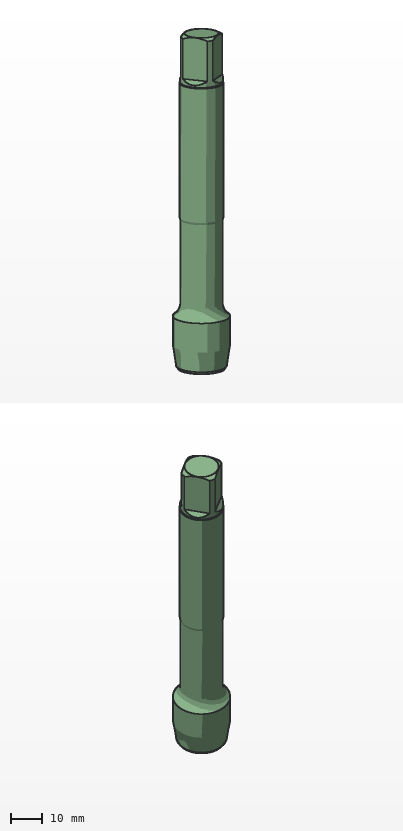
import cadquery as cq
import math


TOTAL_LENGTH = 110.0
TIP_CHAMFER_HEIGHT = 0.9
LEAD_TOP = 7.6
HEAD_TOP = 17.2
FLARE_TOP = 21.5
NECK_TOP = 48.8
SHANK_BOTTOM = 49.6
SHANK_TOP = 93.7
DRIVE_FLAT_BOTTOM = 96.0

TIP_DIAMETER = 15.0
LEAD_DIAMETER = 16.2
HEAD_DIAMETER = 18.2
NECK_DIAMETER = 13.5
SHANK_DIAMETER = 14.0
DRIVE_DIAMETER = 13.8
DRIVE_TOP_DIAMETER = 10.8

DRIVE_WIDTH = 11.0
DRIVE_SIDES = 4
DRIVE_TOP_CHAMFER_HEIGHT = 0.8
SHOULDER_CHAMFER_HEIGHT = 0.3

FLARE_HEIGHT = FLARE_TOP - HEAD_TOP
FLARE_STEP = (HEAD_DIAMETER - NECK_DIAMETER) / 2
FLARE_RADIUS = (FLARE_HEIGHT**2 + FLARE_STEP**2) / (2 * FLARE_STEP)
FLARE_ANGLE = math.asin(FLARE_HEIGHT / FLARE_RADIUS)


def revolve_profile(profile):
    """Close a radius-height profile and turn it about the Z axis."""
    return profile.close().revolve(360, (0, 0, 0), (0, 1, 0))


def make_thread_head():
    """Cylindrical head with a tapered lead and a chamfered tip."""
    profile = (
        cq.Workplane("XZ")
        .lineTo(TIP_DIAMETER / 2, 0)
        .lineTo(LEAD_DIAMETER / 2, TIP_CHAMFER_HEIGHT)
        .lineTo(HEAD_DIAMETER / 2, LEAD_TOP)
        .lineTo(HEAD_DIAMETER / 2, HEAD_TOP)
        .lineTo(0, HEAD_TOP)
    )
    return revolve_profile(profile)


def make_shank_blank():
    """Turned shank, from the flare at the head up to the round end of the drive."""
    flare_middle = (
        NECK_DIAMETER / 2 + FLARE_RADIUS * (1 - math.cos(FLARE_ANGLE / 2)),
        FLARE_TOP - FLARE_RADIUS * math.sin(FLARE_ANGLE / 2),
    )
    profile = (
        cq.Workplane("XZ")
        .moveTo(0, HEAD_TOP)
        .lineTo(HEAD_DIAMETER / 2, HEAD_TOP)
        .threePointArc(flare_middle, (NECK_DIAMETER / 2, FLARE_TOP))
        .lineTo(NECK_DIAMETER / 2, NECK_TOP)
        .lineTo(SHANK_DIAMETER / 2, SHANK_BOTTOM)
        .lineTo(SHANK_DIAMETER / 2, SHANK_TOP)
        .lineTo(DRIVE_DIAMETER / 2, SHANK_TOP + SHOULDER_CHAMFER_HEIGHT)
        .lineTo(DRIVE_DIAMETER / 2, TOTAL_LENGTH - DRIVE_TOP_CHAMFER_HEIGHT)
        .lineTo(DRIVE_TOP_DIAMETER / 2, TOTAL_LENGTH)
        .lineTo(0, TOTAL_LENGTH)
    )
    return revolve_profile(profile)


def make_flat_cutter():
    """Block that cuts one drive flat on +X, with a floor falling outward at 45 degrees."""
    flat_x = DRIVE_WIDTH / 2
    cutter_depth = SHANK_DIAMETER / 2 - flat_x
    outer_x = flat_x + cutter_depth
    return (
        cq.Workplane("XZ")
        .moveTo(flat_x, DRIVE_FLAT_BOTTOM)
        .lineTo(outer_x, DRIVE_FLAT_BOTTOM - cutter_depth)
        .lineTo(outer_x, TOTAL_LENGTH)
        .lineTo(flat_x, TOTAL_LENGTH)
        .close()
        .extrude(SHANK_DIAMETER / 2, both=True)
    )


def make_shank():
    """Shank with its square drive cut into the top end."""
    body = make_shank_blank()
    cutter = make_flat_cutter()
    for side in range(DRIVE_SIDES):
        angle = side * 360 / DRIVE_SIDES
        body = body.cut(cutter.rotate((0, 0, 0), (0, 0, 1), angle))
    return body


thread_head = make_thread_head()
shank = make_shank()
result = cq.Compound.makeCompound([thread_head.val(), shank.val()])